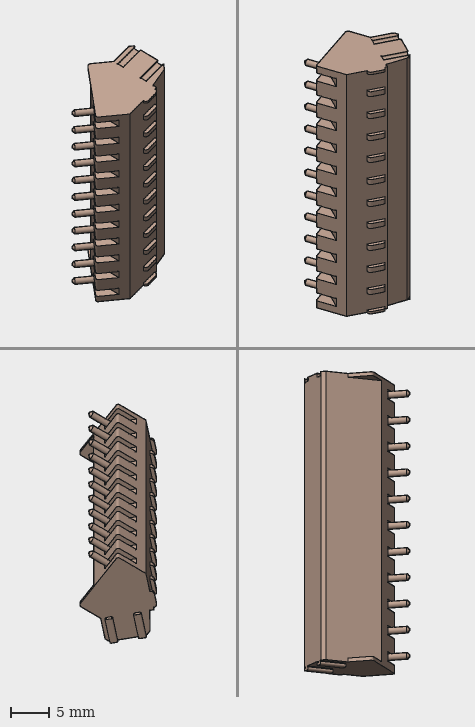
import cadquery as cq
import math

pole_count = 11
total_height = 39.0
rail_height = 0.55
body_bottom = rail_height
body_top = total_height
body_height = body_top - body_bottom
body_middle = (body_bottom + body_top) / 2
pole_pitch = body_height / pole_count

back_y = 12.85
shoulder_y = 9.15
left_wall_x = 2.25
right_wall_x = 9.32
left_chamfer = 0.45
right_chamfer = 0.62
taper_top_x = 8.25
taper_base_x = 8.75
left_tip_radius = 0.43
front_tip_radius = 0.3
front_tip_y = 0.5
fillet_overhang = math.sqrt(2) - 1

left_tip_x = -left_tip_radius * fillet_overhang
left_tip_y = shoulder_y - (left_wall_x - left_tip_x)
front_corner_y = front_tip_y - front_tip_radius * fillet_overhang
front_corner_x = left_tip_x + left_tip_y - front_corner_y
right_flank_y = front_corner_y + right_wall_x - front_corner_x

flange_thickness = 0.5

rail_centers_x = (3.35, 7.15)
rail_neck_width = 0.7
rail_belly_width = 1.05
rail_neck_height = 0.1
groove_clearance = 0.15
groove_depth = rail_height
groove_mouth_radius = rail_neck_height

rib_reach = 9.83
rib_front_y = 6.35
rib_back_y = 8.8
rib_height = 0.78
rib_radius = 0.45

slot_height = 1.25
slot_floor_y = 2.5
pin_diameter = 0.9
pin_radius = pin_diameter / 2
pin_tip_radius = 0.1
pin_tip_length = pin_radius - pin_tip_radius
pin_length = 4.68
pin_offset_x = 2.38
pin_tip_y = pin_tip_radius / math.sqrt(2)
pin_tip_x = pin_tip_y + pin_offset_x


def body_outline():
    """Full cross-section, including the pointed left side."""
    return (
        cq.Workplane("XY", origin=(0, 0, body_bottom))
        .moveTo(left_tip_x, left_tip_y)
        .lineTo(front_corner_x, front_corner_y)
        .lineTo(right_wall_x, right_flank_y)
        .lineTo(right_wall_x, shoulder_y)
        .lineTo(taper_base_x, shoulder_y)
        .lineTo(taper_top_x, back_y - right_chamfer)
        .lineTo(taper_top_x - right_chamfer, back_y)
        .lineTo(left_wall_x + left_chamfer, back_y)
        .lineTo(left_wall_x, back_y - left_chamfer)
        .lineTo(left_wall_x, shoulder_y)
        .close()
    )


def housing():
    solid = body_outline().extrude(body_height)
    solid = solid.edges("|Z and <X").fillet(left_tip_radius)
    solid = solid.edges("|Z and <Y").fillet(front_tip_radius)
    recess_height = body_height - 2 * flange_thickness
    recess = cq.Workplane("XY", origin=(0, 0, body_middle)).box(2 * left_wall_x, 2 * back_y, recess_height)
    return solid.cut(recess)


def bulging_bar(center_x, top_z, bottom_z, neck_width, belly_width):
    """Bar from the shoulder to the back with round sides, widest at half its height."""
    neck = neck_width / 2
    belly = belly_width / 2
    middle_z = (top_z + bottom_z) / 2
    return (
        cq.Workplane("XZ", origin=(center_x, back_y, 0))
        .moveTo(-neck, top_z)
        .lineTo(neck, top_z)
        .threePointArc((belly, middle_z), (neck, bottom_z))
        .lineTo(-neck, bottom_z)
        .threePointArc((-belly, middle_z), (-neck, top_z))
        .close()
        .extrude(back_y - shoulder_y)
    )


def rail(center_x):
    """Bulging rail hanging under the body on a short straight neck."""
    bulge_top = body_bottom - rail_neck_height
    bulge = bulging_bar(center_x, bulge_top, 0, rail_neck_width, rail_belly_width)
    neck = (
        cq.Workplane("XY", origin=(center_x, (shoulder_y + back_y) / 2, bulge_top))
        .rect(rail_neck_width, back_y - shoulder_y)
        .extrude(rail_neck_height)
    )
    return bulge.union(neck)


def groove(center_x):
    """Undercut channel for the rail of a neighboring part, with a rounded mouth."""
    throat_width = rail_neck_width + groove_clearance
    throat = throat_width / 2
    mouth = throat + groove_mouth_radius
    throat_z = body_top - groove_mouth_radius
    channel = bulging_bar(
        center_x, throat_z, body_top - groove_depth, throat_width, rail_belly_width + groove_clearance
    )
    flared_mouth = (
        cq.Workplane("XZ", origin=(center_x, back_y, 0))
        .moveTo(-mouth, body_top)
        .lineTo(mouth, body_top)
        .radiusArc((throat, throat_z), -groove_mouth_radius)
        .lineTo(-throat, throat_z)
        .radiusArc((-mouth, body_top), -groove_mouth_radius)
        .close()
        .extrude(back_y - shoulder_y)
    )
    return channel.union(flared_mouth)


def rib(center_z):
    """Rounded rib whose inner part is buried in the body."""
    width = rib_reach - taper_base_x
    depth = rib_back_y - rib_front_y
    return (
        cq.Workplane("XY")
        .box(width, depth, rib_height)
        .edges(">X and |Z")
        .fillet(rib_radius)
        .translate((rib_reach - width / 2, (rib_front_y + rib_back_y) / 2, center_z))
    )


def slot(center_z):
    """Cutter for a flat-bottomed slot across the front."""
    return cq.Workplane("XY", origin=(0, 0, center_z)).box(2 * rib_reach, 2 * slot_floor_y, slot_height)


def pin(center_z):
    """Round pin with a tapered tip, rising at 45 degrees in the XY plane."""
    axis_plane = cq.Plane(origin=(pin_tip_x, pin_tip_y, center_z), xDir=(0, 0, 1), normal=(1, 1, 0))
    return (
        cq.Workplane(axis_plane)
        .circle(pin_radius)
        .extrude(pin_length)
        .faces("<Y")
        .chamfer(pin_tip_length)
    )


result = housing()

for center_x in rail_centers_x:
    result = result.cut(groove(center_x))
    result = result.union(rail(center_x))

body_envelope = cq.Workplane("XY", origin=(0, 0, body_middle)).box(2 * rib_reach, 2 * back_y, body_height)
for index in range(pole_count + 1):
    rib_z = body_bottom + index * pole_pitch
    result = result.union(rib(rib_z).intersect(body_envelope))

for index in range(pole_count):
    pole_z = body_bottom + (index + 0.5) * pole_pitch
    result = result.cut(slot(pole_z)).union(pin(pole_z))